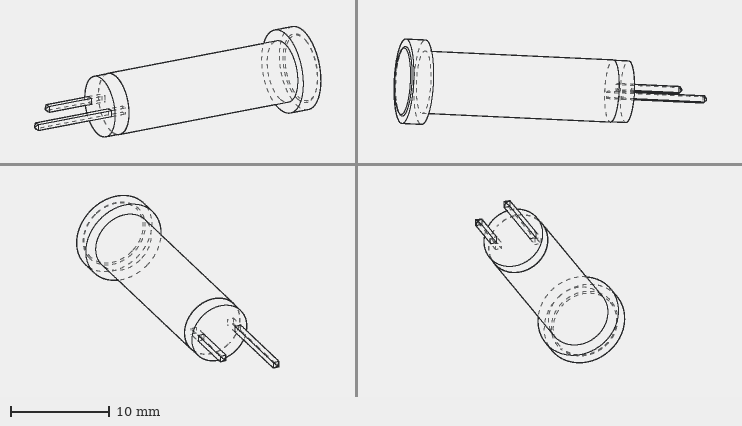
import cadquery as cq
total_length = 32.3

flange_diameter = 8.63
flange_thickness = 2.07
boss_diameter = 7.1
boss_height = 0.13
boss_taper = 0.15
barrel_diameter = 6.35
collar_diameter = 6.3
collar_length = 1.6
end_y = 8.8

pin_width = 0.65
pin_offset = 2.1
pin_depth = 1.6
tip_length = 0.25
tip_width = 0.13
short_pin_y = 3.62
long_pin_y = 0.0

head_rim_y = total_length - boss_height
flange_bottom_y = head_rim_y - flange_thickness
collar_top_y = end_y + collar_length


def make_pin(x, tip_y):
    """Square pin with a blunt pyramid tip at tip_y, seated in the end of the housing."""
    shoulder_y = tip_y + tip_length
    shank_length = end_y + pin_depth - shoulder_y
    shoulder = cq.Workplane("XZ", origin=(x, shoulder_y, 0))
    shank = shoulder.rect(pin_width, pin_width).extrude(-shank_length)
    tip = (
        shoulder.rect(pin_width, pin_width)
        .workplane(offset=tip_length)
        .rect(tip_width, tip_width)
        .loft(ruled=True)
    )
    return shank.union(tip)


def make_housing(pins):
    """Turned housing with a low tapered boss on its head and a socket for each pin."""
    flange_radius = flange_diameter / 2
    barrel_radius = barrel_diameter / 2
    collar_radius = collar_diameter / 2
    boss_radius = boss_diameter / 2
    body = (
        cq.Workplane("YZ")
        .moveTo(end_y, 0)
        .lineTo(end_y, collar_radius)
        .lineTo(collar_top_y, collar_radius)
        .lineTo(collar_top_y, barrel_radius)
        .lineTo(flange_bottom_y, barrel_radius)
        .lineTo(flange_bottom_y, flange_radius)
        .lineTo(head_rim_y, flange_radius)
        .lineTo(head_rim_y, boss_radius)
        .lineTo(total_length, boss_radius - boss_taper)
        .lineTo(total_length, 0)
        .close()
        .revolve(360, (0, 0, 0), (1, 0, 0))
    )
    for pin in pins:
        body = body.cut(pin)
    return body


pins = [make_pin(x, tip_y) for x, tip_y in ((-pin_offset, short_pin_y), (pin_offset, long_pin_y))]
housing = make_housing(pins)

result = cq.Compound.makeCompound([housing.val(), *[pin.val() for pin in pins]])